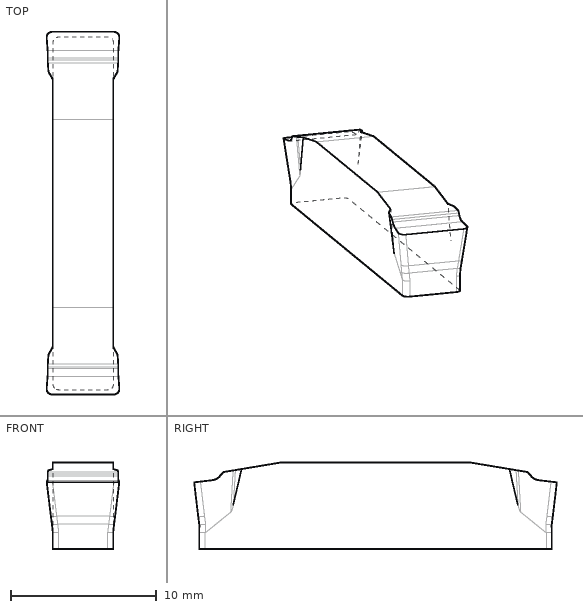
import cadquery as cq

length = 24.93
height = 5.95
half_length = length / 2
core_half_width = 2.082

foot_inset = 0.35
foot_top = 1.72
step_inset = 0.27
step_top = 2.27
tip_height = 4.59
floor_end_inset, floor_end_height = 1.27, 4.74
groove_mid_inset, groove_mid_height = 1.57, 4.84
groove_end_inset, groove_end_height = 1.8, 5.04
lip_inset, lip_height = 1.92, 5.19
lip_mid_inset, lip_mid_height = 2.0, 5.25
ramp_inset, ramp_height = 2.12, 5.3
crown_inset = 6.0

corner_inset, corner_height = 0.75, 1.12
elbow_inset, elbow_height = 2.6, 2.62
shoulder_inset, shoulder_height = 3.27, 5.48
flank_rise = 0.112
flank_fall = flank_rise * (elbow_height - corner_height) / (elbow_inset - corner_inset)
shoulder_taper = 0.6
shoulder_lean = (shoulder_inset - elbow_inset) / (shoulder_height - elbow_height)
root_half_width = 1.25
edge_round = 0.37
corner_round = 0.4

margin = 0.25


def end_point(side, inset, z):
    """Point of the YZ outline at one end; side is +1 or -1."""
    return (side * (half_length - inset), z)


def bar_outline():
    """Symmetric YZ outline, from the -Y foot over the crown to the +Y foot."""
    return (
        cq.Workplane("YZ")
        .moveTo(*end_point(-1, foot_inset, 0))
        .lineTo(*end_point(-1, foot_inset, foot_top))
        .lineTo(*end_point(-1, step_inset, step_top))
        .lineTo(*end_point(-1, 0, tip_height))
        .lineTo(*end_point(-1, floor_end_inset, floor_end_height))
        .threePointArc(
            end_point(-1, groove_mid_inset, groove_mid_height),
            end_point(-1, groove_end_inset, groove_end_height),
        )
        .lineTo(*end_point(-1, lip_inset, lip_height))
        .threePointArc(
            end_point(-1, lip_mid_inset, lip_mid_height),
            end_point(-1, ramp_inset, ramp_height),
        )
        .lineTo(*end_point(-1, crown_inset, height))
        .lineTo(*end_point(1, crown_inset, height))
        .lineTo(*end_point(1, ramp_inset, ramp_height))
        .threePointArc(
            end_point(1, lip_mid_inset, lip_mid_height),
            end_point(1, lip_inset, lip_height),
        )
        .lineTo(*end_point(1, groove_end_inset, groove_end_height))
        .threePointArc(
            end_point(1, groove_mid_inset, groove_mid_height),
            end_point(1, floor_end_inset, floor_end_height),
        )
        .lineTo(*end_point(1, 0, tip_height))
        .lineTo(*end_point(1, step_inset, step_top))
        .lineTo(*end_point(1, foot_inset, foot_top))
        .lineTo(*end_point(1, foot_inset, 0))
        .close()
    )


def flank_half_width(inset, z):
    """Flank plane: widens upward and narrows away from the tip."""
    return core_half_width + flank_rise * (z - corner_height) - flank_fall * (inset - corner_inset)


def head_section(z):
    """Plan points of the -Y head at height z, with flank and shoulder on both sides."""
    crossing = elbow_inset + shoulder_lean * (z - elbow_height)
    flank_at_tip = flank_half_width(0, z)
    meet = (core_half_width + shoulder_taper * crossing - flank_at_tip) / (shoulder_taper - flank_fall)
    root = crossing + (core_half_width - root_half_width) / shoulder_taper
    right_side = [
        (flank_at_tip, -half_length),
        (flank_half_width(meet, z), meet - half_length),
        (root_half_width, root - half_length),
    ]
    left_side = [(-x, y) for x, y in reversed(right_side)]
    return right_side + left_side


def head():
    """Widened -Y head with its flank-to-shoulder edges rounded."""
    block = (
        cq.Workplane("XY")
        .polyline(head_section(0))
        .close()
        .workplane(offset=height)
        .polyline(head_section(height))
        .close()
        .loft(ruled=True, combine=True)
    )
    meet_y = head_section(height / 2)[1][1]
    edge_box = cq.selectors.BoxSelector(
        (-half_length, meet_y - margin, 0), (half_length, meet_y + margin, height)
    )
    return block.edges(edge_box).fillet(edge_round)


near_head = head()
far_head = near_head.mirror("XZ")
core = cq.Workplane("XY").box(
    2 * core_half_width, length, height, centered=(True, True, False)
)
plan_body = core.union(near_head).union(far_head)
body = plan_body.intersect(bar_outline().extrude(half_length, both=True))


def round_end_corners(solid):
    """Round the upright corner edges at both ends of the bar."""
    for side in (-1, 1):
        for end in (-1, 1):
            box = cq.selectors.BoxSelector(
                (side * root_half_width, end * (half_length - corner_inset), margin),
                (side * half_length, end * (half_length + margin), tip_height - margin),
            )
            solid = solid.edges(box).fillet(corner_round)
    return solid


result = round_end_corners(body)